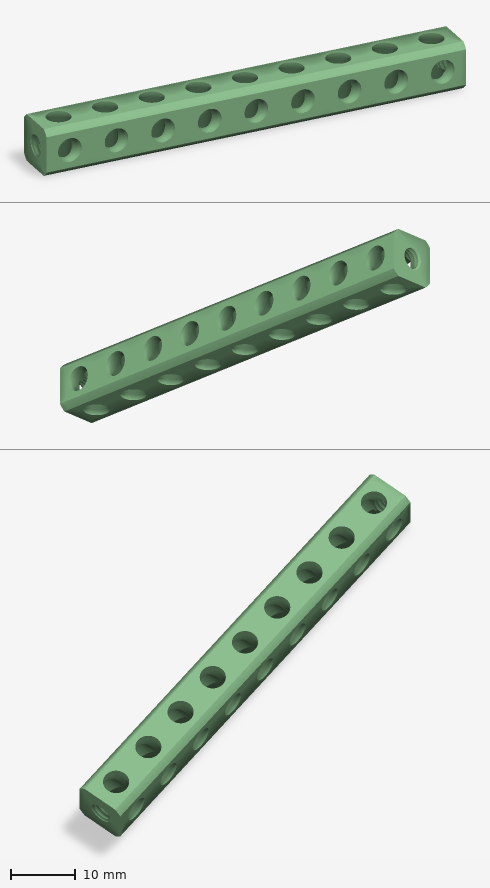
import cadquery as cq
length = 72.0
width = 8.0
corner_turning_diameter = 10.0

hole_count = 9
hole_diameter = 4.0
hole_pitch = length / hole_count

thread_diameter = 4.0
tap_drill_diameter = 3.3
thread_pitch = 0.7
thread_turns = 5
groove_root_width = 0.15
groove_mouth_width = 0.65

tap_drill_depth = hole_pitch / 2

groove_overlap = 0.15


def make_bar():
    square = cq.Workplane("XZ").rect(width, width).extrude(length / 2, both=True)
    turned = cq.Workplane("XZ").circle(corner_turning_diameter / 2).extrude(length / 2, both=True)
    return square.intersect(turned)


def make_cross_holes():
    """One row of cylinders along Z and one along X, spaced evenly along Y."""
    row = cq.Workplane("XY").rarray(0.7, hole_pitch, 1, hole_count)
    upright = row.circle(hole_diameter / 2).extrude(width, both=True)
    sideways = upright.rotate((0, 0, 0), (0, 1, 0), 90)
    return [upright, sideways]


def make_tap_drill():
    """Drilled core along +Z from the origin."""
    return cq.Workplane("XY").circle(tap_drill_diameter / 2).extrude(tap_drill_depth)


def make_thread_groove():
    """Helical groove winding up Z, starting one pitch below the origin."""
    inner_radius = tap_drill_diameter / 2 - groove_overlap
    root_radius = thread_diameter / 2
    helix = cq.Wire.makeHelix(thread_pitch, thread_turns * thread_pitch, inner_radius)
    groove = (
        cq.Workplane("XZ")
        .moveTo(inner_radius, -groove_mouth_width / 2)
        .lineTo(root_radius, -groove_root_width / 2)
        .lineTo(root_radius, groove_root_width / 2)
        .lineTo(inner_radius, groove_mouth_width / 2)
        .close()
        .sweep(cq.Workplane(helix), isFrenet=True)
    )
    return groove.translate((0, 0, -thread_pitch))


def make_end_taps():
    """Tap drill and thread groove for the -Y end, and the same turned round for the +Y end."""
    cutters = []
    for tool in (make_tap_drill(), make_thread_groove()):
        near_cutter = tool.rotate((0, 0, 0), (1, 0, 0), -90).translate((0, -length / 2, 0))
        far_cutter = near_cutter.rotate((0, 0, 0), (0, 0, 1), 180)
        cutters += [near_cutter, far_cutter]
    return cutters


result = make_bar()
for cutter in make_end_taps() + make_cross_holes():
    result = result.cut(cutter)